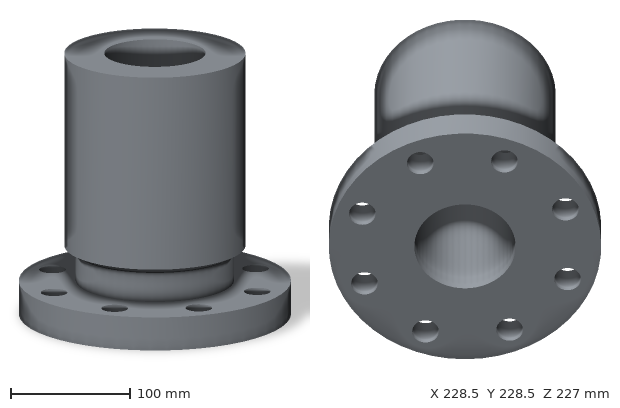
import cadquery as cq

flange_diameter = 228.5
flange_thickness = 28.8
bolt_count = 8
bolt_circle_diameter = 184.5
bolt_hole_diameter = 22.5

total_height = 227.0
neck_diameter = 133.0
neck_relief_depth = 0.2
neck_relief_height = 1.0
sleeve_diameter = 152.2
sleeve_bottom = 54.2
sleeve_chamfer_height = 5.5
bore_diameter = 85.0


def make_body():
    """Revolve the flange, neck and sleeve as one stepped profile about Z."""
    flange_radius = flange_diameter / 2
    neck_radius = neck_diameter / 2
    relief_radius = neck_radius - neck_relief_depth
    relief_top = flange_thickness + neck_relief_height
    sleeve_radius = sleeve_diameter / 2
    bore_radius = bore_diameter / 2
    profile = [
        (bore_radius, 0),
        (flange_radius, 0),
        (flange_radius, flange_thickness),
        (relief_radius, flange_thickness),
        (relief_radius, relief_top),
        (neck_radius, relief_top),
        (neck_radius, sleeve_bottom),
        (sleeve_radius, sleeve_bottom + sleeve_chamfer_height),
        (sleeve_radius, total_height),
        (bore_radius, total_height),
    ]
    return cq.Workplane("XZ").polyline(profile).close().revolve(360, (0, 0, 0), (0, 1, 0))


def make_bolt_holes():
    """Through holes evenly spaced on the bolt circle, the first one on +X."""
    return (
        cq.Workplane("XY")
        .polarArray(bolt_circle_diameter / 2, 0, 360, bolt_count)
        .circle(bolt_hole_diameter / 2)
        .extrude(flange_thickness)
    )


result = make_body().cut(make_bolt_holes())